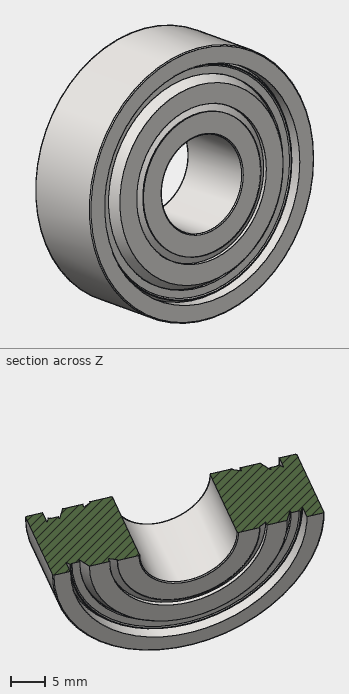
import cadquery as cq
outer_radius = 21.0
bore_radius = 7.5
width = 13.0
edge_chamfer = 0.15

inner_ring_face_radius = 11.0
shield_hole_radius = 12.15
shield_face_radius = 15.3
shield_foot_radius = 16.35
rim_inner_radius = 17.55
crest_inner_radius = 17.75
crest_outer_radius = 17.9
outer_ring_step_radius = 18.25

shield_face_depth = 0.15
inner_ring_shoulder_depth = 0.8
rim_crest_depth = 1.4
rim_floor_depth = 1.5
shield_foot_depth = 1.97
rim_outer_depth = 2.05

half_width = width / 2


def bearing_blank():
    """Plain ring with both outer edges and both bore edges chamfered."""
    section = cq.Workplane("YZ", origin=(-half_width, 0, 0)).circle(outer_radius).circle(bore_radius)
    blank = section.extrude(width)
    return blank.faces("<X or >X").edges().chamfer(edge_chamfer)


def end_recess():
    """Space removed from the -X end: it leaves the shield, its rim and the ring shoulder."""
    profile = [
        (0, inner_ring_face_radius),
        (shield_face_depth, inner_ring_face_radius),
        (inner_ring_shoulder_depth, shield_hole_radius),
        (shield_face_depth, shield_hole_radius),
        (shield_face_depth, shield_face_radius),
        (shield_foot_depth, shield_foot_radius),
        (rim_floor_depth, shield_foot_radius),
        (rim_floor_depth, rim_inner_radius),
        (rim_crest_depth, crest_inner_radius),
        (rim_crest_depth, crest_outer_radius),
        (rim_outer_depth, outer_ring_step_radius),
        (0, outer_ring_step_radius),
    ]
    points = [(depth - half_width, radius) for depth, radius in profile]
    return cq.Workplane("XY").polyline(points).close().revolve(360, (0, 0, 0), (1, 0, 0))


recess = end_recess()
result = bearing_blank().cut(recess).cut(recess.mirror("YZ"))